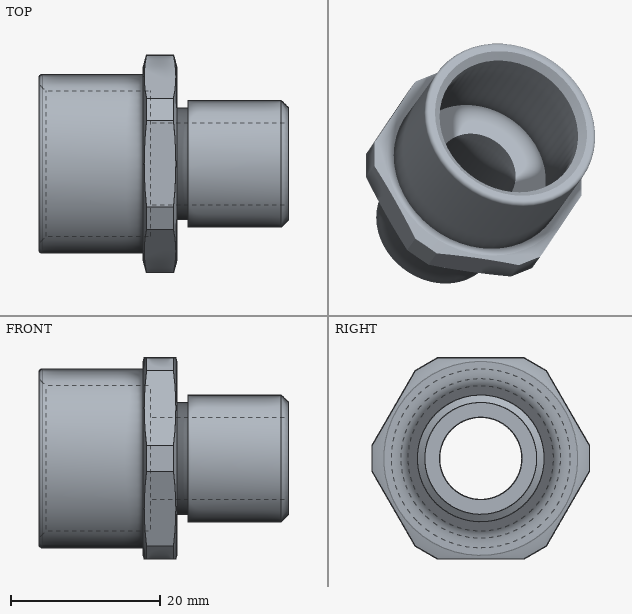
import cadquery as cq
import math

socket_length = 14.0
hex_length = 4.5
neck_length = 1.5
spigot_length = 13.5

socket_diameter = 24.0
socket_rim_fillet = 0.5
socket_bore_diameter = 19.5
socket_bore_depth = 15.0
bore_mouth_diameter = 21.4
bore_mouth_depth = 0.95

hex_sides = 6
half_side_angle = 180 / hex_sides
hex_across_flats = 27.0
hex_corner_cut = 1.0
hex_face_diameter = 26.0
hex_chamfer_angle = 15.0

neck_diameter = 15.0
spigot_diameter = 17.0
spigot_chamfer = 1.0
through_bore_diameter = 11.0

hex_end = socket_length + hex_length
neck_end = hex_end + neck_length
total_length = neck_end + spigot_length
hex_across_corners = hex_across_flats / math.cos(math.radians(half_side_angle))
trimmed_across_corners = hex_across_corners - 2 * hex_corner_cut


def cylinder(start, length, diameter):
    """Solid cylinder on the X axis, starting at the given X."""
    return cq.Workplane("YZ", origin=(start, 0, 0)).circle(diameter / 2).extrude(length)


def hex_prism(across_corners, rotation):
    """Hexagonal prism at the hex station, turned about the X axis."""
    station = cq.Workplane("YZ", origin=(socket_length, 0, 0))
    prism = station.polygon(hex_sides, across_corners).extrude(hex_length)
    return prism.rotate((0, 0, 0), (1, 0, 0), rotation)


def chamfering_envelope():
    """Revolved double cone that chamfers both end faces of the hexagon."""
    face_radius = hex_face_diameter / 2
    outer_radius = hex_across_corners / 2
    cone_run = (outer_radius - face_radius) * math.tan(math.radians(hex_chamfer_angle))
    profile = [
        (socket_length, 0),
        (socket_length, face_radius),
        (socket_length + cone_run, outer_radius),
        (hex_end - cone_run, outer_radius),
        (hex_end, face_radius),
        (hex_end, 0),
    ]
    return cq.Workplane("XY").polyline(profile).close().revolve(360, (0, 0, 0), (1, 0, 0))


def make_hexagon():
    """Hexagon with flats on +Z and -Z and its six corners cut flat."""
    trim_size = trimmed_across_corners / math.cos(math.radians(half_side_angle))
    corner_trim = hex_prism(trim_size, half_side_angle)
    return hex_prism(hex_across_corners, 0).intersect(corner_trim).intersect(chamfering_envelope())


def make_socket():
    """Socket barrel with a rounded outer rim."""
    barrel = cylinder(0, socket_length, socket_diameter)
    return barrel.faces("<X").edges().fillet(socket_rim_fillet)


def make_spigot():
    """Spigot with a chamfered free end, joined by its narrower neck."""
    neck = cylinder(hex_end, neck_length, neck_diameter)
    spigot = cylinder(neck_end, spigot_length, spigot_diameter)
    spigot = spigot.faces(">X").edges().chamfer(spigot_chamfer)
    return neck.union(spigot)


def make_bore():
    """Stepped bore: conical mouth, socket bore and through bore."""
    profile = [
        (0, 0),
        (0, bore_mouth_diameter / 2),
        (bore_mouth_depth, socket_bore_diameter / 2),
        (socket_bore_depth, socket_bore_diameter / 2),
        (socket_bore_depth, through_bore_diameter / 2),
        (total_length, through_bore_diameter / 2),
        (total_length, 0),
    ]
    return cq.Workplane("XY").polyline(profile).close().revolve(360, (0, 0, 0), (1, 0, 0))


result = make_socket().union(make_hexagon()).union(make_spigot()).cut(make_bore())